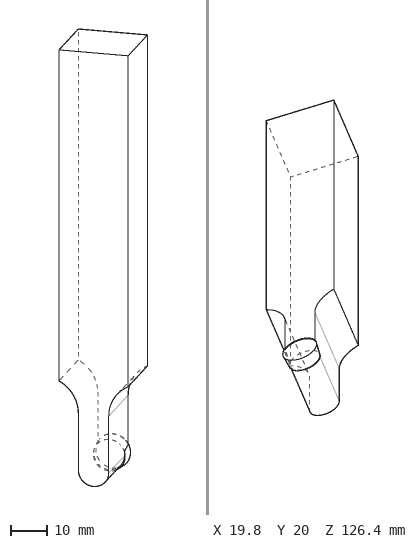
import cadquery as cq
import math

TOTAL_LENGTH = 126.4
SHANK_WIDTH = 19.8
SHANK_DEPTH = 19.7

INSERT_DIAMETER = 10.0
INSERT_RADIUS = INSERT_DIAMETER / 2
INSERT_THICKNESS = 4.0
INSERT_RELIEF_ANGLE = 6.0
INSERT_PROUD = 0.3

BLADE_WIDTH = 8.7
BLADE_CENTER_X = SHANK_WIDTH / 2
NECK_FILLET_RADIUS = 10.0
NECK_START_Z = 21.6

INSERT_CENTER_Z = INSERT_RADIUS
BLADE_TIP_CENTER_Z = 5.2
BLADE_RADIUS = BLADE_WIDTH / 2
BLADE_LEFT = BLADE_CENTER_X - BLADE_RADIUS
BLADE_RIGHT = BLADE_CENTER_X + BLADE_RADIUS


def neck_arc_height(side_distance):
    """Z of the neck arc at a distance out from the side of the blade."""
    inset = NECK_FILLET_RADIUS - side_distance
    return NECK_START_Z + math.sqrt(NECK_FILLET_RADIUS**2 - inset**2)


def make_blank():
    """Outline of shank, curved neck and round-ended blade, extruded through Y."""
    shoulder = BLADE_LEFT
    shoulder_z = neck_arc_height(shoulder)
    arc_middle_z = neck_arc_height(shoulder / 2)
    return (
        cq.Workplane("XZ")
        .moveTo(0, TOTAL_LENGTH)
        .lineTo(0, shoulder_z)
        .threePointArc(
            (BLADE_LEFT - shoulder / 2, arc_middle_z),
            (BLADE_LEFT, NECK_START_Z),
        )
        .lineTo(BLADE_LEFT, BLADE_TIP_CENTER_Z)
        .threePointArc(
            (BLADE_CENTER_X, BLADE_TIP_CENTER_Z - BLADE_RADIUS),
            (BLADE_RIGHT, BLADE_TIP_CENTER_Z),
        )
        .lineTo(BLADE_RIGHT, NECK_START_Z)
        .threePointArc(
            (BLADE_RIGHT + shoulder / 2, arc_middle_z),
            (SHANK_WIDTH, shoulder_z),
        )
        .lineTo(SHANK_WIDTH, TOTAL_LENGTH)
        .close()
        .extrude(-SHANK_DEPTH)
    )


def make_insert():
    """Round cutting insert, widest at its +Y face."""
    return (
        cq.Workplane("XZ", origin=(BLADE_CENTER_X, SHANK_DEPTH + INSERT_PROUD, INSERT_CENTER_Z))
        .circle(INSERT_RADIUS)
        .extrude(INSERT_THICKNESS, taper=INSERT_RELIEF_ANGLE)
    )


def make_holder(insert):
    """Shank and blade in one piece, with a seat matching the insert."""
    return make_blank().cut(insert)


insert = make_insert()
holder = make_holder(insert)

result = cq.Compound.makeCompound([holder.val(), insert.val()])